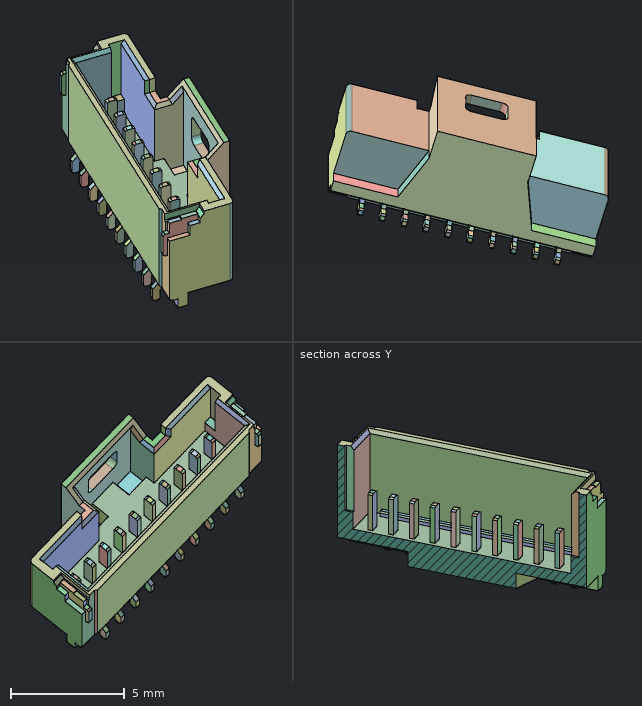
import cadquery as cq
import math


WIDTH = 12.0
HALF_WIDTH = WIDTH / 2
HEIGHT = 5.35
BACK_Y = 3.2
BACK_CORNER_RADIUS = 0.22
END_SETBACK = 0.1
END_LENGTH = 0.84

TOWER_BACK_Y = 4.6
TOWER_HALF_WIDTH = 2.25
RIM_DROP = 0.78
RIM_NOTCH_HALF_WIDTH = 2.8

FRONT_WALL = 0.42
BACK_WALL = 0.45
SIDE_WALL = 0.77
TOWER_SIDE_WALL = 0.41
TOWER_ROOM_HALF_WIDTH = TOWER_HALF_WIDTH - TOWER_SIDE_WALL
TOWER_ROOM_BACK_Y = TOWER_BACK_Y - BACK_WALL
RIM_CHAMFER = 0.17
FLOOR_Z = 1.32
CORNER_SLOT_WALL = 0.4
CORNER_SLOT_LENGTH = 0.6
CORNER_SLOT_Z = 2.16
LEDGE_HALF_LENGTH = 4.65
LEDGE_BACK_Y = 0.67
LEDGE_HEIGHT = 0.24
LEDGE_CHAMFER = 0.07

WINDOW_HALF_WIDTH = 0.96
WINDOW_BOTTOM_Z = 2.75
WINDOW_TOP_Z = 4.32
WINDOW_RADIUS = 0.28

SHELF_Z = 0.54
LEG_FRONT_Y = 0.5
LEG_BACK_Y = 1.0
UNDERCUT_BEVEL = 0.22
UNDERCUT_HEIGHT = 0.75
DRAFT_ANGLE = math.radians(20)

PIN_COUNT = 10
PIN_ROW_LENGTH = 9.0
PIN_PITCH = PIN_ROW_LENGTH / (PIN_COUNT - 1)
PIN_WIDTH = 0.23
PIN_FRONT_Y = -0.11
PIN_LEG_THICKNESS = 0.37
PIN_TAIL_THICKNESS = 0.4
PIN_BOTTOM_Z = -0.55
PIN_OUTER_BEND = 0.37
PIN_INNER_BEND = 0.15
PIN_FOOT_CHAMFER = 0.08
POST_FRONT_Y = 1.57
POST_DEPTH = 0.48
POST_TOP_Z = 3.12
POST_CHAMFER = 0.11
POST_TIP_LENGTH = 0.06

CLIP_OUTER = 0.23
CLIP_INNER = 0.45
POCKET_INNER = 0.52
POCKET_BACK_Y = 1.76
POCKET_DEPTH = 0.36
POCKET_BEVEL = 0.19
CLIP_TOP_DEPTH = 0.29
CLIP_STEP_Y = 0.78
CLIP_BACK_Y = POCKET_BACK_Y - POCKET_BEVEL
CLIP_TAB_DEPTH = 0.62
CLIP_BODY_BACK_Y = 1.08
CLIP_BODY_DEPTH = 1.2
CLIP_NECK_Y = 0.19
CLIP_BLADE_TOP_DEPTH = 0.95
CLIP_BLADE_BOTTOM_DEPTH = 2.25
CLIP_BLADE_CHAMFER = 0.1

TOLERANCE = 0.001
CUT_MARGIN = 0.6


def block(x0, x1, y0, y1, z0, z1):
    return cq.Workplane("XY").box(x1 - x0, y1 - y0, z1 - z0, centered=False).translate((x0, y0, z0))


def side_prism(points, x0, x1):
    """Extrude a (y, z) outline along X from x0 to x1."""
    return cq.Workplane("YZ").workplane(offset=x0).polyline(points).close().extrude(x1 - x0)


def mirror_ends(solid):
    return solid.union(solid.mirror("YZ"))


def make_shell():
    """Solid outer form of the housing and the key tower."""
    bevel_x = HALF_WIDTH - END_LENGTH
    panel_x = bevel_x - END_SETBACK
    outline = [
        (-HALF_WIDTH, END_SETBACK), (-bevel_x, END_SETBACK), (-panel_x, 0), (panel_x, 0),
        (bevel_x, END_SETBACK), (HALF_WIDTH, END_SETBACK), (HALF_WIDTH, BACK_Y), (-HALF_WIDTH, BACK_Y),
    ]
    shell = cq.Workplane("XY").polyline(outline).close().extrude(HEIGHT)
    shell = shell.edges("|Z and >Y").fillet(BACK_CORNER_RADIUS)

    front_undercut = [
        (-CUT_MARGIN, -CUT_MARGIN), (LEG_FRONT_Y, -CUT_MARGIN), (LEG_FRONT_Y, SHELF_Z),
        (UNDERCUT_BEVEL, SHELF_Z), (-CUT_MARGIN, SHELF_Z + UNDERCUT_BEVEL + CUT_MARGIN),
    ]
    shell = shell.cut(side_prism(front_undercut, -HALF_WIDTH, HALF_WIDTH))
    shell = shell.cut(block(-HALF_WIDTH, HALF_WIDTH, LEG_BACK_Y, BACK_Y, 0, UNDERCUT_HEIGHT))

    keel_back_x = TOWER_HALF_WIDTH
    keel_front_x = keel_back_x + (BACK_Y - LEG_BACK_Y) * math.tan(DRAFT_ANGLE)
    keel_outline = [
        (-keel_front_x, LEG_BACK_Y), (keel_front_x, LEG_BACK_Y),
        (keel_back_x, BACK_Y), (-keel_back_x, BACK_Y),
    ]
    keel = cq.Workplane("XY").polyline(keel_outline).close().extrude(UNDERCUT_HEIGHT)
    tower = block(-TOWER_HALF_WIDTH, TOWER_HALF_WIDTH, LEG_BACK_Y, TOWER_BACK_Y, UNDERCUT_HEIGHT, HEIGHT)
    tower_foot = block(-TOWER_HALF_WIDTH, TOWER_HALF_WIDTH, BACK_Y, TOWER_BACK_Y, 0, UNDERCUT_HEIGHT)
    return shell.union(tower).union(keel).union(tower_foot)


def cut_cavity(shell):
    """Open the housing from above and bevel the inner rim."""
    room_x = HALF_WIDTH - SIDE_WALL
    room_back_y = BACK_Y - BACK_WALL
    notch_z = HEIGHT - RIM_DROP

    room = block(-room_x, room_x, FRONT_WALL, room_back_y, FLOOR_Z, HEIGHT)
    tower_room = block(
        -TOWER_ROOM_HALF_WIDTH, TOWER_ROOM_HALF_WIDTH,
        FRONT_WALL, TOWER_ROOM_BACK_Y,
        FLOOR_Z, HEIGHT,
    )
    slot_x = HALF_WIDTH - CORNER_SLOT_WALL
    slot_front_y = room_back_y - CORNER_SLOT_LENGTH
    slot = block(room_x, slot_x, slot_front_y, room_back_y, CORNER_SLOT_Z, HEIGHT)
    housing = shell.cut(room.union(tower_room)).cut(mirror_ends(slot))

    slope_top_y = TOWER_ROOM_BACK_Y + RIM_CHAMFER
    notch = [
        (room_back_y - BACK_WALL, HEIGHT), (room_back_y - BACK_WALL, notch_z),
        (slope_top_y - RIM_DROP, notch_z), (slope_top_y, HEIGHT),
    ]
    housing = housing.cut(side_prism(notch, -RIM_NOTCH_HALF_WIDTH, RIM_NOTCH_HALF_WIDTH))

    def on_inner_rim(edge):
        """True for rim edges to bevel, including the upright notch corners on the back wall."""
        center = edge.Center()
        x = abs(center.x)
        y = center.y
        on_slot_back = room_x < x < slot_x - TOLERANCE and abs(y - room_back_y) < TOLERANCE
        inside_room = x < room_x + TOLERANCE and FRONT_WALL - TOLERANCE < y < room_back_y + TOLERANCE
        beside_tower_room = x < TOWER_ROOM_HALF_WIDTH + TOLERANCE
        inside_tower = beside_tower_room and room_back_y < y < TOWER_ROOM_BACK_Y - TOLERANCE
        return center.z > notch_z - TOLERANCE and (inside_room or inside_tower or on_slot_back)

    rim = [edge for edge in housing.edges().vals() if on_inner_rim(edge)]
    return housing.newObject(rim).chamfer(RIM_CHAMFER)


def make_ledge():
    """Low rib on the floor along the foot of the front wall."""
    ledge = block(
        -LEDGE_HALF_LENGTH, LEDGE_HALF_LENGTH,
        FRONT_WALL, LEDGE_BACK_Y,
        UNDERCUT_HEIGHT, FLOOR_Z + LEDGE_HEIGHT,
    )
    return ledge.edges(">Y and >Z").chamfer(LEDGE_CHAMFER)


def make_window():
    """Rounded opening through the back wall of the tower."""
    window = block(
        -WINDOW_HALF_WIDTH, WINDOW_HALF_WIDTH,
        TOWER_ROOM_BACK_Y, TOWER_BACK_Y,
        WINDOW_BOTTOM_Z, WINDOW_TOP_Z,
    )
    return window.edges("|Y").fillet(WINDOW_RADIUS)


def make_floor_recesses():
    """Sunken floor on each side of the tower, with a drafted inner side."""
    outer_x = TOWER_ROOM_HALF_WIDTH
    inner_top_x = WINDOW_HALF_WIDTH - UNDERCUT_HEIGHT * math.tan(DRAFT_ANGLE)
    bottom_z = FLOOR_Z - UNDERCUT_HEIGHT
    outline = [
        (inner_top_x, FLOOR_Z), (WINDOW_HALF_WIDTH, bottom_z), (outer_x, bottom_z), (outer_x, FLOOR_Z),
    ]
    length = TOWER_ROOM_BACK_Y - BACK_Y
    recess = cq.Workplane("XZ").workplane(offset=-TOWER_ROOM_BACK_Y).polyline(outline).close().extrude(length)
    return mirror_ends(recess)


def make_pin():
    """One contact at X = 0: a post in the cavity and a bent tail under the front wall."""
    half = PIN_WIDTH / 2
    post_back_y = POST_FRONT_Y + POST_DEPTH
    post = block(-half, half, POST_FRONT_Y, post_back_y, UNDERCUT_HEIGHT, POST_TOP_Z)
    post = post.faces(">Z").edges("|X").chamfer(POST_TIP_LENGTH, POST_CHAMFER)

    leg_back_y = PIN_FRONT_Y + PIN_LEG_THICKNESS
    tail_bottom_z = SHELF_Z - PIN_TAIL_THICKNESS
    tail_outline = [
        (LEG_BACK_Y, SHELF_Z), (PIN_FRONT_Y + PIN_OUTER_BEND, SHELF_Z),
        (PIN_FRONT_Y, SHELF_Z - PIN_OUTER_BEND), (PIN_FRONT_Y, PIN_BOTTOM_Z),
        (leg_back_y, PIN_BOTTOM_Z), (leg_back_y, tail_bottom_z - PIN_INNER_BEND),
        (leg_back_y + PIN_INNER_BEND, tail_bottom_z), (LEG_BACK_Y, tail_bottom_z),
    ]
    tail = side_prism(tail_outline, -half, half).edges("|X and <Z").chamfer(PIN_FOOT_CHAMFER)
    return post.union(tail)


def make_clip_pockets():
    """Openings in the end walls above and around the solder clips."""
    end_x = -HALF_WIDTH
    floor_z = HEIGHT - POCKET_DEPTH
    upper = [
        (POCKET_BACK_Y, HEIGHT), (POCKET_BACK_Y, floor_z + POCKET_BEVEL), (CLIP_BACK_Y, floor_z),
        (-CUT_MARGIN, floor_z), (-CUT_MARGIN, HEIGHT),
    ]
    pocket = side_prism(upper, end_x, end_x + POCKET_INNER)

    step_bottom_z = floor_z - (POCKET_INNER - CLIP_INNER)
    step_outline = [
        (end_x, floor_z), (end_x + POCKET_INNER, floor_z),
        (end_x + CLIP_INNER, step_bottom_z), (end_x, step_bottom_z),
    ]
    step = cq.Workplane("XZ").workplane(offset=-CLIP_BACK_Y).polyline(step_outline).close()
    pocket = pocket.union(step.extrude(CLIP_BACK_Y + CUT_MARGIN))

    around_clip = [
        (CLIP_BACK_Y, floor_z), (CLIP_BACK_Y, HEIGHT - CLIP_TAB_DEPTH),
        (CLIP_BODY_BACK_Y, HEIGHT - CLIP_TAB_DEPTH), (CLIP_BODY_BACK_Y, HEIGHT - CLIP_BODY_DEPTH),
        (-CUT_MARGIN, HEIGHT - CLIP_BODY_DEPTH), (-CUT_MARGIN, floor_z),
    ]
    pocket = pocket.union(side_prism(around_clip, end_x, end_x + CLIP_INNER))
    return mirror_ends(pocket)


def make_clips():
    """Flat metal clip set into each end wall, with a blade standing out in front."""
    top_z = HEIGHT - CLIP_TOP_DEPTH
    shoulder_z = HEIGHT - POCKET_DEPTH
    outline = [
        (CLIP_BACK_Y, top_z), (CLIP_STEP_Y, top_z), (CLIP_STEP_Y, shoulder_z),
        (CLIP_NECK_Y, shoulder_z), (CLIP_NECK_Y, HEIGHT - CLIP_BLADE_TOP_DEPTH),
        (PIN_FRONT_Y + CLIP_BLADE_CHAMFER, HEIGHT - CLIP_BLADE_TOP_DEPTH),
        (PIN_FRONT_Y, HEIGHT - CLIP_BLADE_TOP_DEPTH - CLIP_BLADE_CHAMFER),
        (PIN_FRONT_Y, HEIGHT - CLIP_BLADE_BOTTOM_DEPTH + CLIP_BLADE_CHAMFER),
        (PIN_FRONT_Y + CLIP_BLADE_CHAMFER, HEIGHT - CLIP_BLADE_BOTTOM_DEPTH),
        (CLIP_NECK_Y, HEIGHT - CLIP_BLADE_BOTTOM_DEPTH), (CLIP_NECK_Y, HEIGHT - CLIP_BODY_DEPTH),
        (CLIP_BODY_BACK_Y, HEIGHT - CLIP_BODY_DEPTH), (CLIP_BODY_BACK_Y, HEIGHT - CLIP_TAB_DEPTH),
        (CLIP_BACK_Y, HEIGHT - CLIP_TAB_DEPTH),
    ]
    return mirror_ends(side_prism(outline, -HALF_WIDTH + CLIP_OUTER, -HALF_WIDTH + CLIP_INNER))


result = cut_cavity(make_shell())
result = result.cut(make_window()).cut(make_floor_recesses()).union(make_ledge())
result = result.cut(make_clip_pockets()).union(make_clips())

first_pin_x = -PIN_ROW_LENGTH / 2
for index in range(PIN_COUNT):
    result = result.union(make_pin().translate((first_pin_x + index * PIN_PITCH, 0, 0)))